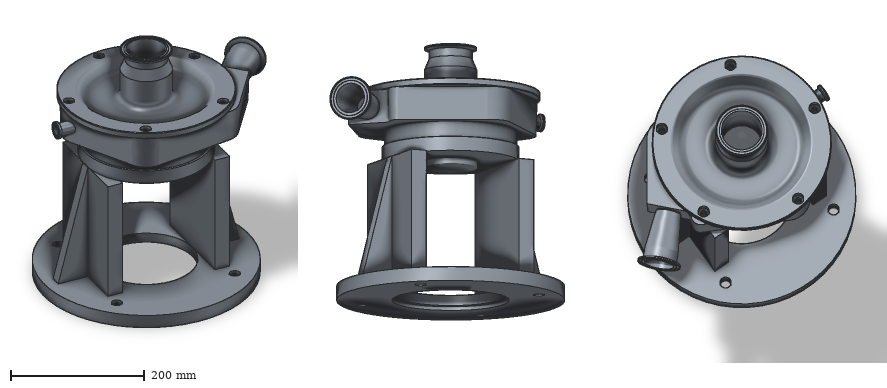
import cadquery as cq
import math

BASE_TOP = 21.0
STAND_TOP = 210.7
LOWER_RING_TOP = 232.5
HOUSING_BOTTOM = 256
HOUSING_TOP = 306.0
COVER_TOP = 316.3
INLET_TOP = 385.0

BASE_RADIUS = 171.5
BASE_OPENING_RADIUS = 77.5
BASE_RECESS_RADIUS = 88
BASE_RECESS_DEPTH = 5.5
BASE_BOLT_SPACING = 198.5
BASE_BOLT_DIAMETER = 16.8

PLATE_INNER_Y = 77.5
PLATE_OUTER_Y = 102.5
PLATE_WIDTH = 151.0
RIB_THICKNESS = 17.0
RIB_FOOT_Y = 152.5

LOWER_RING_RADIUS = 103.0
UPPER_RING_RADIUS = 99.5
BOSS_RADIUS = 40.5
BOSS_DROP = 10.0
BOSS_EDGE_FILLET = 1.0

HOUSING_APOTHEM = 115.5
SIDE_COUNT = 5
SIDE_STEP = 360 / SIDE_COUNT
FRONT_LEFT_SIDE_ANGLE = 225
HOUSING_CORNER_RADIUS = 36
DRAFT_ANGLE = 1.8
TONGUE_TIP = (-63.0, 131.0)
TONGUE_ROOT = (-41.0, 125.0)
TONGUE_RADIUS = 14.0
DISCHARGE_CORNER = (6.0, 170.0)
DISCHARGE_SIDE_ANGLE = 55

COVER_RADIUS = 134.8
COVER_EDGE_CHAMFER = 1.0
DISH_DEPTH = 16.8
DISH_RIM_RADIUS = 104.8
DISH_FLOOR_RADIUS = 89.5
DISH_RIM_FILLET = 4.8
DISH_FLOOR_FILLET = 14.0
COVER_BOLT_CIRCLE_RADIUS = 122.0
COVER_BOLT_START_ANGLE = 45
COVER_HOLE_RADIUS = 8.5
TAPPED_HOLE_RADIUS = 5.0
TAPPED_HOLE_DEPTH = 20
DRILL_POINT_DEPTH = 4

INLET_RADIUS = 39.5
INLET_ROOT_FILLET = 15.0
INLET_NECK_RADIUS = 32.6
INLET_BORE_RADIUS = 30.5
INLET_CONE_BOTTOM = 350.5
INLET_CONE_TOP = 367.5
INLET_FLANGE_RADIUS = 39.0

NOZZLE_Z = 280.7
DISCHARGE_ANGLE = 135
DISCHARGE_TIP = (-76.5, 205.5)
DISCHARGE_LENGTH = 83.0
DISCHARGE_NECK_LENGTH = 20.8
DISCHARGE_NECK_RADIUS = 25.5
DISCHARGE_FLANGE_RADIUS = 32.5
DISCHARGE_ROOT_RADIUS = 19.0
DISCHARGE_WELD = 2.5
DISCHARGE_WALL = 3.0
DISCHARGE_BORE_STRAIGHT = 17.0

FLANGE_RIM = 2.8
FLANGE_BACK = 2.5
GROOVE_DEPTH = 1.0
GROOVE_WIDTH = 4
GROOVE_EDGE = 1.5

DRAIN_Z = 282.5
DRAIN_TIP_Y = -152
DRAIN_FLANGE_RADIUS = 13.0
DRAIN_PIPE_RADIUS = 10.0
DRAIN_BORE_RADIUS = 7.0
DRAIN_FLANGE_RIM = 4
DRAIN_GROOVE_WIDTH = 2.5
DRAIN_FLANGE_BACK = 1.5

CORNER_REACH = 4
HOUSING_EMBED = 4


def disc(radius, bottom, top):
    return cq.Workplane("XY").workplane(offset=bottom).circle(radius).extrude(top - bottom)


def revolve_along(tip, axis, cross, profile):
    """Revolve (radius, distance) points about an axis; distances run along the axis from its tip."""
    axis_vector = cq.Vector(*axis)
    cross_vector = cq.Vector(*cross)
    plane = cq.Plane(origin=tip, xDir=cross_vector, normal=cross_vector.cross(axis_vector))
    return cq.Workplane(plane).polyline(profile).close().revolve(360, (0, 0), (0, 1))


def side_meeting(angle_a, apothem_a, angle_b, apothem_b):
    """Point where two straight sides meet, each given by its outward angle and distance from the axis."""
    a = math.radians(angle_a)
    b = math.radians(angle_b)
    spread = math.sin(b - a)
    x = (apothem_a * math.sin(b) - apothem_b * math.sin(a)) / spread
    y = (apothem_b * math.cos(a) - apothem_a * math.cos(b)) / spread
    return x, y


def make_base():
    base = disc(BASE_RADIUS, 0, BASE_TOP).cut(disc(BASE_OPENING_RADIUS, 0, BASE_TOP))
    base = base.cut(disc(BASE_RECESS_RADIUS, 0, BASE_RECESS_DEPTH))
    return (
        base.faces(">Z").workplane(origin=(0, 0, BASE_TOP))
        .rect(BASE_BOLT_SPACING, BASE_BOLT_SPACING, forConstruction=True).vertices()
        .hole(BASE_BOLT_DIAMETER)
    )


def make_support():
    height = STAND_TOP - BASE_TOP
    plate = cq.Workplane("XY").box(
        PLATE_WIDTH, PLATE_OUTER_Y - PLATE_INNER_Y, height, centered=(True, False, False)
    ).translate((0, PLATE_INNER_Y, BASE_TOP))
    rib = (
        cq.Workplane("YZ")
        .polyline([(PLATE_OUTER_Y, BASE_TOP), (RIB_FOOT_Y, BASE_TOP), (PLATE_OUTER_Y, STAND_TOP)])
        .close().extrude(RIB_THICKNESS / 2, both=True)
    )
    return plate.union(rib)


def make_rings():
    boss = disc(BOSS_RADIUS, STAND_TOP - BOSS_DROP, STAND_TOP).faces("<Z").edges().fillet(BOSS_EDGE_FILLET)
    lower = disc(LOWER_RING_RADIUS, STAND_TOP, LOWER_RING_TOP)
    upper = disc(UPPER_RING_RADIUS, LOWER_RING_TOP, HOUSING_BOTTOM)
    return boss.union(lower).union(upper)


def round_corner(body, corner, radius):
    """Fillet the upright edge that stands on the given (x, y) corner."""
    x, y = corner
    near = cq.selectors.BoxSelector(
        (x - CORNER_REACH, y - CORNER_REACH, 0), (x + CORNER_REACH, y + CORNER_REACH, COVER_TOP))
    return body.edges("|Z").edges(near).fillet(radius)


def make_housing():
    round_corners = [
        side_meeting(angle, HOUSING_APOTHEM, angle + SIDE_STEP, HOUSING_APOTHEM)
        for angle in (FRONT_LEFT_SIDE_ANGLE - SIDE_STEP,
                      FRONT_LEFT_SIDE_ANGLE,
                      FRONT_LEFT_SIDE_ANGLE + SIDE_STEP)
    ]
    right_side_angle = FRONT_LEFT_SIDE_ANGLE + 2 * SIDE_STEP
    slope = math.radians(DISCHARGE_SIDE_ANGLE)
    slope_distance = DISCHARGE_CORNER[0] * math.cos(slope) + DISCHARGE_CORNER[1] * math.sin(slope)
    shoulder = side_meeting(right_side_angle, HOUSING_APOTHEM, DISCHARGE_SIDE_ANGLE, slope_distance)

    outline = [TONGUE_TIP] + round_corners + [shoulder, DISCHARGE_CORNER, TONGUE_ROOT]
    height = HOUSING_TOP - HOUSING_BOTTOM

    flat = cq.Workplane("XY").polyline(outline).close().extrude(height)
    flat = round_corner(flat, TONGUE_TIP, TONGUE_RADIUS)
    flat = round_corner(flat, shoulder, HOUSING_CORNER_RADIUS)
    for corner in round_corners:
        flat = round_corner(flat, corner, HOUSING_CORNER_RADIUS)
    top_wire = flat.faces("<Z").wires().val().translate(cq.Vector(0, 0, HOUSING_TOP))
    return cq.Workplane("XY").add(top_wire).toPending().extrude(-height, taper=DRAFT_ANGLE)


def make_cover():
    return disc(COVER_RADIUS, HOUSING_TOP, COVER_TOP).edges().chamfer(COVER_EDGE_CHAMFER)


def cut_dish(body):
    floor = COVER_TOP - DISH_DEPTH
    dish = revolve_along((0, 0, floor), (0, 0, 1), (1, 0, 0), [
        (0, 0), (DISH_FLOOR_RADIUS, 0), (DISH_RIM_RADIUS, DISH_DEPTH), (0, DISH_DEPTH)])
    dish = dish.faces("<Z").edges().fillet(DISH_FLOOR_FILLET)
    body = body.cut(dish)
    rim = cq.selectors.RadiusNthSelector(-2)
    return body.faces(">Z").edges(rim).fillet(DISH_RIM_FILLET)


def make_tapped_hole():
    tip = HOUSING_TOP - TAPPED_HOLE_DEPTH
    point = tip - DRILL_POINT_DEPTH
    countersink = HOUSING_TOP - (COVER_HOLE_RADIUS - TAPPED_HOLE_RADIUS)
    return revolve_along((0, 0, 0), (0, 0, 1), (1, 0, 0), [
        (0, point), (TAPPED_HOLE_RADIUS, tip), (TAPPED_HOLE_RADIUS, countersink),
        (COVER_HOLE_RADIUS, HOUSING_TOP), (COVER_HOLE_RADIUS, COVER_TOP), (0, COVER_TOP)])


def flange_profile(flange_radius, neck_radius):
    """Outer points of a clamp flange, from its end face back to the neck."""
    return [(flange_radius, 0), (flange_radius, -FLANGE_RIM), (neck_radius, -FLANGE_RIM - FLANGE_BACK)]


def make_groove(tip, axis, cross, flange_radius, width):
    outer = flange_radius - GROOVE_EDGE
    inner = outer - width
    return revolve_along(tip, axis, cross, [
        (inner, 0), (outer, 0), (outer, -GROOVE_DEPTH), (inner, -GROOVE_DEPTH)])


def add_inlet(body):
    placing = ((0, 0, INLET_TOP), (0, 0, 1), (1, 0, 0))
    floor_z = COVER_TOP - DISH_DEPTH
    floor = floor_z - INLET_TOP
    cone_bottom = INLET_CONE_BOTTOM - INLET_TOP
    cone_top = INLET_CONE_TOP - INLET_TOP
    pipe = revolve_along(*placing, [
        (0, 0), *flange_profile(INLET_FLANGE_RADIUS, INLET_NECK_RADIUS), (INLET_NECK_RADIUS, cone_top),
        (INLET_RADIUS, cone_bottom), (INLET_RADIUS, floor), (0, floor)])
    body = body.union(pipe)
    root = cq.selectors.BoxSelector(
        (-INLET_RADIUS, -INLET_RADIUS, floor_z - CORNER_REACH),
        (INLET_RADIUS, INLET_RADIUS, floor_z + CORNER_REACH))
    circle = cq.selectors.RadiusNthSelector(0)
    body = body.edges(root).edges(circle).fillet(INLET_ROOT_FILLET)
    bore = disc(INLET_BORE_RADIUS, floor_z, INLET_TOP)
    return body.cut(bore).cut(make_groove(*placing, INLET_FLANGE_RADIUS, GROOVE_WIDTH))


def add_discharge(body):
    angle = math.radians(DISCHARGE_ANGLE)
    placing = ((*DISCHARGE_TIP, NOZZLE_Z), (math.cos(angle), math.sin(angle), 0), (0, 0, 1))
    cone_end = DISCHARGE_WELD - DISCHARGE_LENGTH
    weld_radius = DISCHARGE_ROOT_RADIUS - DISCHARGE_WELD
    embedded = -DISCHARGE_LENGTH - HOUSING_EMBED
    pipe = revolve_along(*placing, [
        (0, 0), *flange_profile(DISCHARGE_FLANGE_RADIUS, DISCHARGE_NECK_RADIUS),
        (DISCHARGE_NECK_RADIUS, -DISCHARGE_NECK_LENGTH), (DISCHARGE_ROOT_RADIUS, cone_end),
        (weld_radius, -DISCHARGE_LENGTH), (weld_radius, embedded), (0, embedded)])
    bore_radius = DISCHARGE_NECK_RADIUS - DISCHARGE_WALL
    root_bore_radius = DISCHARGE_ROOT_RADIUS - DISCHARGE_WALL
    bore = revolve_along(*placing, [
        (0, 0), (bore_radius, 0), (bore_radius, -DISCHARGE_BORE_STRAIGHT),
        (root_bore_radius, cone_end), (0, cone_end)])
    return body.union(pipe).cut(bore).cut(make_groove(*placing, DISCHARGE_FLANGE_RADIUS, GROOVE_WIDTH))


def add_drain(body):
    placing = ((0, DRAIN_TIP_Y, DRAIN_Z), (0, -1, 0), (0, 0, 1))
    wall_distance = DRAIN_TIP_Y + HOUSING_APOTHEM
    flange_back = -DRAIN_FLANGE_RIM - DRAIN_FLANGE_BACK
    bore = revolve_along(*placing, [
        (0, 0), (DRAIN_BORE_RADIUS, 0), (DRAIN_BORE_RADIUS, wall_distance), (0, wall_distance)])
    pipe = revolve_along(*placing, [
        (0, 0), (DRAIN_FLANGE_RADIUS, 0), (DRAIN_FLANGE_RADIUS, -DRAIN_FLANGE_RIM),
        (DRAIN_PIPE_RADIUS, flange_back), (DRAIN_PIPE_RADIUS, wall_distance), (0, wall_distance)])
    groove = make_groove(*placing, DRAIN_FLANGE_RADIUS, DRAIN_GROOVE_WIDTH)
    return body.union(pipe.cut(bore).cut(groove))


support = make_support()
stand = make_base().union(support).union(support.mirror("XZ"))
pump = make_rings().union(make_housing()).union(make_cover())
pump = cut_dish(pump)
pump = add_inlet(pump)
pump = add_discharge(pump)
pump = add_drain(pump)

tapped_hole = make_tapped_hole()
for index in range(SIDE_COUNT):
    turn = math.radians(COVER_BOLT_START_ANGLE + index * SIDE_STEP)
    x = COVER_BOLT_CIRCLE_RADIUS * math.cos(turn)
    y = COVER_BOLT_CIRCLE_RADIUS * math.sin(turn)
    pump = pump.cut(tapped_hole.translate((x, y, 0)))

result = stand.union(pump)